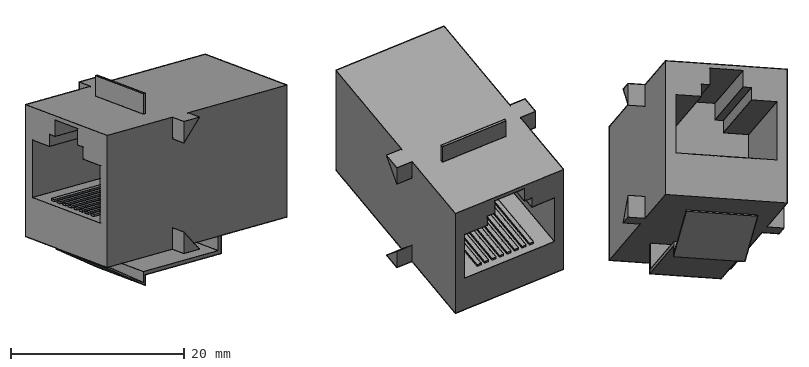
import cadquery as cq
import math

body_width = 14.5
body_length = 27.45
body_height = 16.15

overall_width = 18.55
lug_front = 9.95
lug_length = 2.42
lug_height = 2.64

opening_floor = 5.1
opening_depth = 13.73
chamber_width = 12.0
chamber_height = 7.03
step_width = 5.95
step_height = 1.48
keyway_width = 3.95
keyway_height = 2.0

contact_count = 8
contact_span = 7.0
contact_pitch = contact_span / (contact_count - 1)
contact_width = 0.55
contact_height = 0.25
contact_front = 0.95

clip_width = 8.5
clip_front = 8.1
clip_thickness = 0.3
tab_height = 2.5
latch_drop = 4.85
arm_thickness = 0.47
arm_back = 20.0
arm_drop = 3.57
finger_angle = 30
finger_length = 7.3
finger_thickness = 0.22


def box(width, y_start, length, z_start, height):
    """Box centred on X, placed by its front and lower faces."""
    return (
        cq.Workplane("XY")
        .box(width, length, height, centered=(True, False, False))
        .translate((0, y_start, z_start))
    )


def side_prism(points, width):
    """Prism of a Y-Z outline, centred on X."""
    return cq.Workplane("YZ").polyline(points).close().extrude(width / 2, both=True)


def lug_wedges(edge_z, tip_z):
    """Pair of wedges, full height at the front and tapering to nothing at the back."""
    outline = [
        (lug_front, edge_z),
        (lug_front + lug_length, edge_z),
        (lug_front, tip_z),
    ]
    return side_prism(outline, overall_width)


def plug_opening():
    opening = None
    level = opening_floor
    tiers = [
        (chamber_width, chamber_height),
        (step_width, step_height),
        (keyway_width, keyway_height),
    ]
    for width, height in tiers:
        tier = box(width, 0, opening_depth, level, height)
        opening = tier if opening is None else opening.union(tier)
        level += height
    return opening


def contacts():
    length = opening_depth - contact_front
    strip = box(contact_width, contact_front, length, opening_floor, contact_height)
    strips = cq.Workplane("XY")
    for index in range(contact_count):
        offset = (index - (contact_count - 1) / 2) * contact_pitch
        strips = strips.add(strip.translate((offset, 0, 0)))
    return strips.combine()


def latch():
    """Leg, arm and hook, ending in a finger that slopes up towards the front."""
    leg = box(clip_width, arm_back - arm_thickness, arm_thickness, -arm_drop, arm_drop)
    arm = box(clip_width, clip_front, arm_back - clip_front, -arm_drop, arm_thickness)
    angle = math.radians(finger_angle)
    heel_y = clip_front + clip_thickness
    heel_z = -latch_drop
    hook_outline = [
        (heel_y, heel_z),
        (clip_front, heel_z + clip_thickness * math.tan(angle)),
        (clip_front, arm_thickness - arm_drop),
        (heel_y, arm_thickness - arm_drop),
    ]
    hook = side_prism(hook_outline, clip_width)
    tip_y = heel_y - finger_length * math.cos(angle)
    tip_z = heel_z + finger_length * math.sin(angle)
    finger_outline = [
        (heel_y, heel_z),
        (tip_y, tip_z),
        (
            tip_y + finger_thickness * math.sin(angle),
            tip_z + finger_thickness * math.cos(angle),
        ),
        (heel_y, heel_z + finger_thickness / math.cos(angle)),
    ]
    finger = side_prism(finger_outline, clip_width)
    return leg.union(arm).union(hook).union(finger)


body = box(body_width, 0, body_length, 0, body_height)
upper_lugs = lug_wedges(body_height, body_height - lug_height)
lower_lugs = lug_wedges(0, lug_height)
tab = box(clip_width, clip_front, clip_thickness, body_height, tab_height)

result = (
    body.union(upper_lugs)
    .union(lower_lugs)
    .cut(plug_opening())
    .union(contacts())
    .union(tab)
    .union(latch())
)